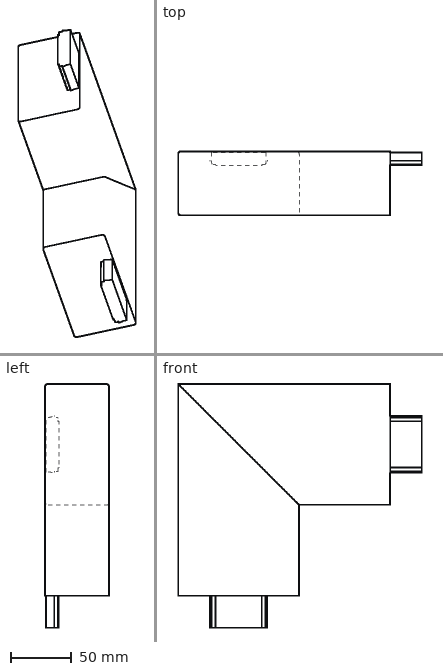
import cadquery as cq

OVERALL = 201.5
ARM_LENGTH = 175.1
ARM_WIDTH = 100.0
ARM_DEPTH = 53.0
EDGE_RADIUS = 2.5

FLANGE_BACK_HALF = 22.5
FLANGE_HALF = 23.5
SHOULDER_HALF = 22.4
PLATEAU_HALF = 19.1
TAPER = 0.15

FLARE_START = 3.0
FLARE_END = 6.5
FLANGE_THICKNESS = 7.0
SHOULDER_STRAIGHT = 8.7
SHOULDER_LEVEL = 9.9
COUPLING_DEPTH = 10.7

BACK_GAP = 0.8
COUPLING_LENGTH = OVERALL - ARM_LENGTH


def make_arm():
    """Arm along X with rounded long edges, cut at 45 degrees at the elbow."""
    bar = (
        cq.Workplane("YZ")
        .center(-ARM_DEPTH / 2, -ARM_WIDTH / 2)
        .rect(ARM_DEPTH, ARM_WIDTH)
        .extrude(ARM_LENGTH)
        .edges("|X")
        .fillet(EDGE_RADIUS)
    )
    wedge = (
        cq.Workplane("XZ")
        .polyline([(0, 0), (ARM_WIDTH, -ARM_WIDTH), (0, -ARM_WIDTH)])
        .close()
        .extrude(ARM_DEPTH)
    )
    return bar.cut(wedge)


def make_coupling():
    """Stepped coupling bar standing out of the end of the X arm."""
    shoulder_front_half = SHOULDER_HALF - TAPER * (SHOULDER_LEVEL - SHOULDER_STRAIGHT)
    plateau_front_half = PLATEAU_HALF - TAPER * (COUPLING_DEPTH - SHOULDER_LEVEL)
    half_section = [
        (FLANGE_BACK_HALF, 0),
        (FLANGE_BACK_HALF, FLARE_START),
        (FLANGE_HALF, FLARE_END),
        (FLANGE_HALF, FLANGE_THICKNESS),
        (SHOULDER_HALF, FLANGE_THICKNESS),
        (SHOULDER_HALF, SHOULDER_STRAIGHT),
        (shoulder_front_half, SHOULDER_LEVEL),
        (PLATEAU_HALF, SHOULDER_LEVEL),
        (plateau_front_half, COUPLING_DEPTH),
    ]
    one_side = [(-depth, half) for half, depth in half_section]
    other_side = [(-depth, -half) for half, depth in reversed(half_section)]
    return (
        cq.Workplane("YZ", origin=(ARM_LENGTH, -BACK_GAP, -ARM_WIDTH / 2))
        .polyline(one_side + other_side)
        .close()
        .extrude(COUPLING_LENGTH)
    )


def across_mitre(body):
    """Twin of an X-arm body on the Z arm: its mirror image in the mitre plane X = -Z."""
    return body.mirror(cq.Vector(1, 0, 1))


bodies = []
for make_body in (make_arm, make_coupling):
    x_arm_body = make_body()
    bodies += [x_arm_body.val(), across_mitre(x_arm_body).val()]

result = cq.Compound.makeCompound(bodies)